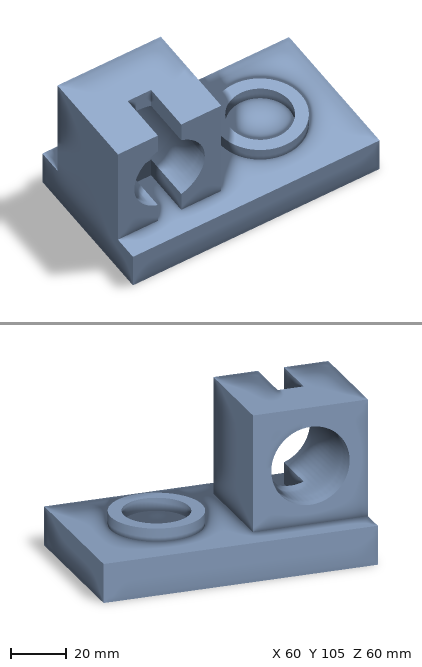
import cadquery as cq

plate_width = 60.0
plate_length = 105.0
plate_height = 15.0

ring_outer_diameter = 35.0
ring_inner_diameter = 25.0
ring_height = 5.0
ring_to_back = 31.6
ring_center_y = plate_length - ring_to_back

total_height = 60.0
block_width = 40.0
block_length = 44.0
block_height = total_height - plate_height
block_center_y = block_length / 2

bore_diameter = 30.0
bore_center_z = plate_height + block_height / 2
slot_length = block_width / 2
slot_width = 10.0


def make_plate():
    """Plain rectangular plate."""
    return cq.Workplane("XY").box(
        plate_width, plate_length, plate_height, centered=(True, False, False)
    )


def make_ring():
    """Flat ring that rests on the plate near its back."""
    return (
        cq.Workplane("XY", origin=(0, ring_center_y, plate_height))
        .circle(ring_outer_diameter / 2)
        .circle(ring_inner_diameter / 2)
        .extrude(ring_height)
    )


def make_bearing_block():
    """Block with a bore along X and a slot through its full height."""
    block = (
        cq.Workplane("XY")
        .box(block_width, block_length, block_height, centered=(True, False, False))
        .translate((0, 0, plate_height))
    )
    bore = (
        cq.Workplane("YZ", origin=(0, block_center_y, bore_center_z))
        .circle(bore_diameter / 2)
        .extrude(block_width / 2, both=True)
    )
    slot = (
        cq.Workplane("XY")
        .box(slot_length, slot_width, block_height, centered=(False, True, False))
        .translate((0, block_center_y, plate_height))
    )
    return block.cut(bore).cut(slot)


plate = make_plate()
ring = make_ring()
bearing_block = make_bearing_block()

result = cq.Compound.makeCompound([plate.val(), ring.val(), bearing_block.val()])